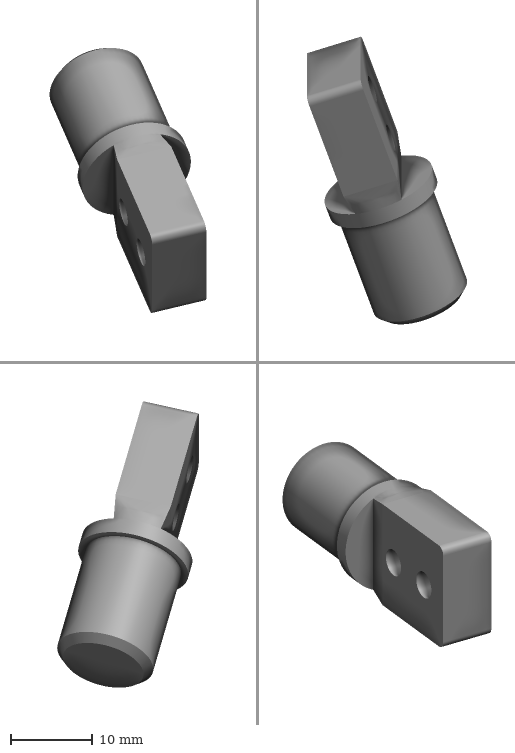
import cadquery as cq
import math

total_length = 34.0
shank_length = 15.0
flange_thickness = 2.0
neck_length = 3.0

shank_diameter = 12.2
shank_chamfer = 1.0
flange_diameter = 14.0

tongue_thickness = flange_diameter / 2
tongue_height = flange_diameter
tongue_corner_radius = 1.0
neck_root_thickness = 6.0

hole_diameter = 3.5
hole_spacing = 7.0
first_hole_setback = 2.5

flange_start = shank_length
neck_start = flange_start + flange_thickness
tongue_start = neck_start + neck_length
tongue_length = total_length - tongue_start


def make_shank():
    shank = cq.Workplane("YZ").circle(shank_diameter / 2).extrude(shank_length)
    return shank.faces("<X").chamfer(shank_chamfer)


def make_flange():
    flange = cq.Workplane("YZ", origin=(flange_start, 0, 0))
    return flange.circle(flange_diameter / 2).extrude(flange_thickness)


def make_neck():
    """Blend from a flat-sided slice of the flange circle to the tongue rectangle."""
    flange_radius = flange_diameter / 2
    half_root = neck_root_thickness / 2
    root_side_height = math.sqrt(flange_radius**2 - half_root**2)
    half_tongue = tongue_thickness / 2
    half_height = tongue_height / 2
    return (
        cq.Workplane("YZ", origin=(neck_start, 0, 0))
        .moveTo(-half_root, -root_side_height)
        .threePointArc((0, -flange_radius), (half_root, -root_side_height))
        .lineTo(half_root, root_side_height)
        .threePointArc((0, flange_radius), (-half_root, root_side_height))
        .close()
        .workplane(offset=neck_length)
        .moveTo(-half_tongue, -half_height)
        .lineTo(half_tongue, -half_height)
        .lineTo(half_tongue, half_height)
        .lineTo(-half_tongue, half_height)
        .close()
        .loft(ruled=True)
    )


def make_tongue():
    tongue = cq.Workplane("YZ", origin=(tongue_start, 0, 0))
    tongue = tongue.rect(tongue_thickness, tongue_height).extrude(tongue_length)
    tongue = tongue.faces(">X").edges("|Y").fillet(tongue_corner_radius)

    first_hole_x = tongue_start + first_hole_setback
    hole_centres = [(first_hole_x, 0), (first_hole_x + hole_spacing, 0)]
    holes = (
        cq.Workplane("XZ")
        .pushPoints(hole_centres)
        .circle(hole_diameter / 2)
        .extrude(tongue_thickness, both=True)
    )
    return tongue.cut(holes)


result = make_shank().union(make_flange()).union(make_neck()).union(make_tongue())